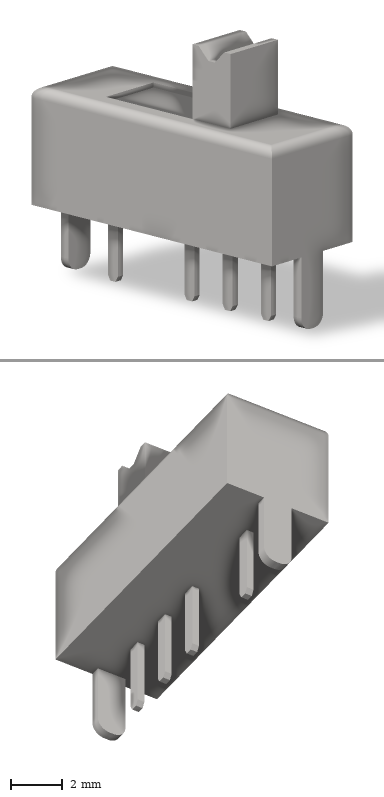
import cadquery as cq

length = 12.6
width = 4.6
height = 4.72
wall = 0.4
roof = 0.2
edge_radius = 0.4

side_opening_height = 1.0

leg_width = 1.25
leg_length = 2.97
leg_corner_radius = 0.53

window_length = 6.53
window_width = 2.7
lever_length = 2.0
lever_rise = 3.0
lever_land = 0.33
groove_depth = 0.5

pin_pitch = 2.0
pin_steps = [-2, 0, 1, 2]
pin_width = 0.53
pin_thickness = 0.3
pin_length = 3.07
pin_tip_inset = 0.13
pin_tip_height = 0.23

inner_length = length - 2 * wall
inner_width = width - 2 * wall
core_height = height - roof
lever_top = height + lever_rise
lever_end = window_length / 2
lever_start = lever_end - lever_length


def block(size_x, size_y, bottom, top):
    """Box centred on the Z axis, between two heights."""
    box = cq.Workplane("XY").box(size_x, size_y, top - bottom, centered=(True, True, False))
    return box.translate((0, 0, bottom))


def insert_envelope():
    """Cavity core and side strips: the space the insert fills inside the cover."""
    core = block(inner_length, inner_width, 0, core_height)
    strips = block(inner_length, width, 0, side_opening_height)
    return core.union(strips)


def make_leg(x):
    """Flat mounting leg with rounded lower corners."""
    leg = block(wall, leg_width, -leg_length, 0)
    leg = leg.faces("<Z").edges("|X").fillet(leg_corner_radius)
    return leg.translate((x, 0, 0))


def make_cover():
    """Rounded shell with a lever window and two legs."""
    cover = block(length, width, 0, height).faces(">Z").edges().fillet(edge_radius)
    cover = cover.cut(insert_envelope())
    cover = cover.cut(block(window_length, window_width, core_height, height))
    for side in (-1, 1):
        cover = cover.union(make_leg(side * (length - wall) / 2))
    return cover


def make_lever():
    """Upright lever with a flat-bottomed V groove across its top."""
    groove_bottom = lever_top - groove_depth
    groove_middle = (lever_start + lever_end) / 2
    outline = [
        (lever_start, core_height),
        (lever_end, core_height),
        (lever_end, lever_top),
        (lever_end - lever_land, lever_top),
        (groove_middle + lever_land / 2, groove_bottom),
        (groove_middle - lever_land / 2, groove_bottom),
        (lever_start + lever_land, lever_top),
        (lever_start, lever_top),
    ]
    return cq.Workplane("XZ").polyline(outline).close().extrude(window_width / 2, both=True)


def make_pin(x):
    """Flat contact pin with steeply chamfered tip edges."""
    half = pin_width / 2
    tip_half = half - pin_tip_inset
    shoulder = pin_tip_height - pin_length
    outline = [
        (-half, 0),
        (-half, shoulder),
        (-tip_half, -pin_length),
        (tip_half, -pin_length),
        (half, shoulder),
        (half, 0),
    ]
    pin = cq.Workplane("XZ").polyline(outline).close().extrude(pin_thickness / 2, both=True)
    return pin.translate((x, 0, 0))


def make_insert():
    """Base with its lever and contact pins."""
    insert = insert_envelope().union(make_lever())
    for step in pin_steps:
        insert = insert.union(make_pin(step * pin_pitch))
    return insert


cover = make_cover()
insert = make_insert()
result = cq.Compound.makeCompound([cover.val(), insert.val()])